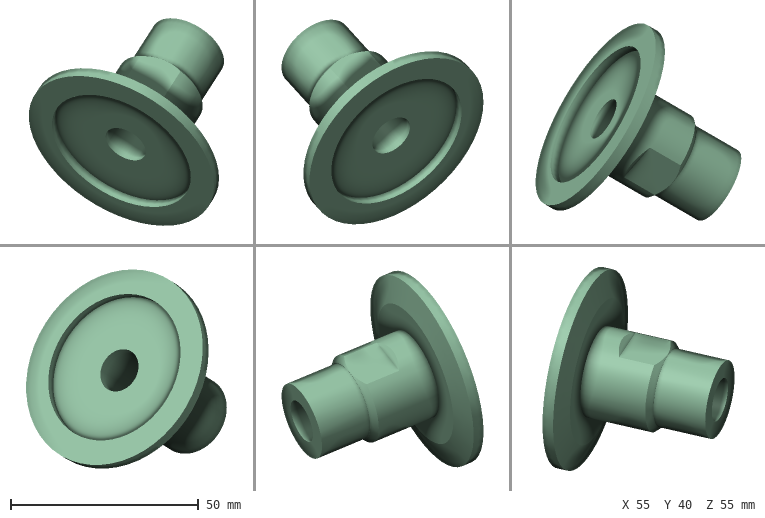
import cadquery as cq
import math

total_length = 40.0

flange_radius = 55 / 2
rim_thickness = 3.0
flange_thickness = 5.0
taper_angle = 15
taper_width = (flange_thickness - rim_thickness) / math.tan(math.radians(taper_angle))

recess_radius = 41.2 / 2
recess_depth = 2.6
bore_radius = 11.9 / 2

body_radius = 25.0 / 2
tube_radius = 21.5 / 2
shoulder_y = 25.2
body_chamfer = 1.65
flat_half_spacing = 22 / 2
flat_start_y = 13.55


def revolved_body():
    """Flange, recess, bore, body and tube as one turned profile."""
    profile = [
        (bore_radius, recess_depth),
        (recess_radius, recess_depth),
        (recess_radius, 0),
        (flange_radius, 0),
        (flange_radius, rim_thickness),
        (flange_radius - taper_width, flange_thickness),
        (body_radius, flange_thickness),
        (body_radius, shoulder_y - body_chamfer),
        (body_radius - body_chamfer, shoulder_y),
        (tube_radius, shoulder_y),
        (tube_radius, total_length),
        (bore_radius, total_length),
    ]
    return cq.Workplane("XY").polyline(profile).close().revolve(360, (0, 0, 0), (0, 1, 0))


def wrench_flat_cutter():
    """Prism that cuts the +Z flat, with a 45 degree run-out toward the flange."""
    cut_height = body_radius - flat_half_spacing
    return (
        cq.Workplane("YZ")
        .moveTo(flat_start_y, flat_half_spacing)
        .lineTo(shoulder_y, flat_half_spacing)
        .lineTo(shoulder_y, body_radius)
        .lineTo(flat_start_y - cut_height, body_radius)
        .close()
        .extrude(body_radius, both=True)
    )


upper_flat = wrench_flat_cutter()
lower_flat = upper_flat.mirror("XY")
result = revolved_body().cut(upper_flat).cut(lower_flat)